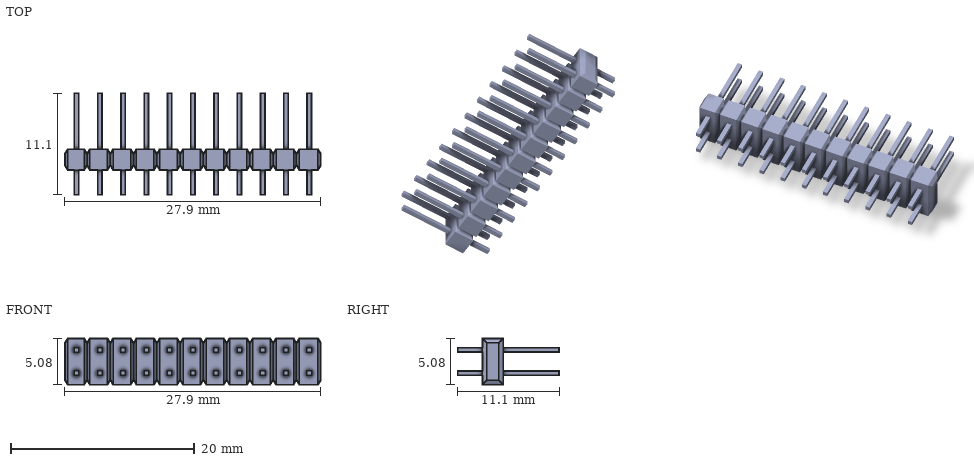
import cadquery as cq

columns = 11
rows = 2
pitch = 2.54

body_length = columns * pitch
body_depth = 2.3
body_height = rows * pitch

end_bevel_run = 0.3175
end_bevel_depth = 0.508

groove_run = 0.3175
groove_depth = 0.54
groove_offset = -0.127

pin_width = 0.508
pin_front_length = 2.7
pin_back_length = 6.1


def centred_position(index, count):
    """Position of one item in an evenly pitched row centred on zero."""
    return (index - (count - 1) / 2) * pitch


def make_taper(wide_x, narrow_x, inset):
    """Taper from the full body section at wide_x to a section inset on all sides at narrow_x."""
    return (
        cq.Workplane("YZ", origin=(wide_x, 0, 0))
        .rect(body_depth, body_height)
        .workplane(offset=narrow_x - wide_x)
        .rect(body_depth - 2 * inset, body_height - 2 * inset)
        .loft(ruled=True)
    )


def make_segment(left_end, right_end):
    """One body segment between two ends, each given as (x, taper run, taper inset)."""
    left_x, left_run, left_inset = left_end
    right_x, right_run, right_inset = right_end
    block_left = left_x + left_run
    block_right = right_x - right_run
    block = (
        cq.Workplane("YZ", origin=(block_left, 0, 0))
        .rect(body_depth, body_height)
        .extrude(block_right - block_left)
    )
    left_taper = make_taper(block_left, left_x, left_inset)
    right_taper = make_taper(block_right, right_x, right_inset)
    return block.union(left_taper).union(right_taper)


def make_body():
    """Insulator: one segment per column, meeting at the groove bottoms."""
    groove_count = columns - 1
    ends = [(-body_length / 2, end_bevel_run, end_bevel_depth)]
    for i in range(groove_count):
        groove_x = centred_position(i, groove_count) + groove_offset
        ends.append((groove_x, groove_run, groove_depth))
    ends.append((body_length / 2, end_bevel_run, end_bevel_depth))

    body = make_segment(ends[0], ends[1])
    for i in range(1, columns):
        body = body.union(make_segment(ends[i], ends[i + 1]))
    return body


def make_pins():
    """Square pins, one per column and row, running right through the body."""
    front_y = -body_depth / 2 - pin_front_length
    pin_length = pin_front_length + body_depth + pin_back_length
    centres = [
        (centred_position(column, columns), centred_position(row, rows))
        for column in range(columns)
        for row in range(rows)
    ]
    return (
        cq.Workplane("XZ", origin=(0, front_y, 0))
        .pushPoints(centres)
        .rect(pin_width, pin_width)
        .extrude(-pin_length)
    )


result = make_body().union(make_pins())